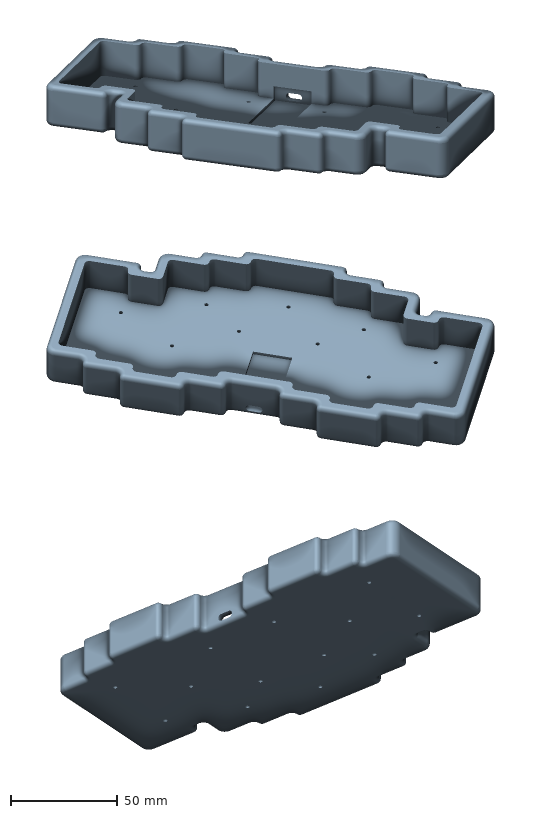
import cadquery as cq

key_pitch = 19.0
stagger = key_pitch / 4
clearance = 1.0
wall = 5.0
height = 20.7
floor = 3.0

end_corner_radius = 4.7
step_flat = 0.05
step_corner_radius = (stagger - step_flat) / 2
rim_margin = 0.02
rim_radius = step_corner_radius - rim_margin
cavity_corner_radius = 2.2

screw_diameter = 2.0
rear_screw_y = 26.3
middle_screw_y = rear_screw_y - 1.125 * key_pitch
front_screw_y = rear_screw_y - 2 * key_pitch
thumb_screw_y = front_screw_y - 0.75 * key_pitch
center_screw_y = front_screw_y - 1.125 * key_pitch

recess_width = key_pitch
recess_front_y = 0.2
recess_depth = 1.6
recess_top = 9.3
recess_into_wall = 2.0
port_width = 8.1
port_height = 3.6
port_z = 4.3

field_rear = 4.5 * key_pitch / 2
field_front = -field_rear
side_rear = field_rear - 2 * stagger
side_front = side_rear - 3 * key_pitch
thumb_front = field_front + 2 * stagger


def key_field(margin):
    """Stepped outline of the key field, grown outward by a margin."""
    right_half = [
        (1, side_rear),
        (1, side_rear + stagger),
        (2, side_rear + stagger),
        (2, field_rear),
        (3, field_rear),
        (3, side_rear + stagger),
        (4, side_rear + stagger),
        (4, side_rear),
        (5, side_rear),
        (5, side_front),
        (4, side_front),
        (4, side_front + stagger),
        (3, side_front + stagger),
        (3, thumb_front),
        (2, thumb_front),
        (2, thumb_front - stagger),
        (1, thumb_front - stagger),
        (1, field_front),
    ]
    right = [(column * key_pitch, y) for column, y in right_half]
    left = [(-x, y) for x, y in reversed(right)]
    outline = cq.Workplane("XY").polyline(right + left).close()
    return outline.offset2D(margin, "intersection")


def is_end_corner(edge):
    """True for the upright edges at the two ends and at the thumb cluster corners."""
    margin = clearance + wall
    tolerance = 0.02
    end_x = 5 * key_pitch + margin
    thumb_x = 3 * key_pitch + margin
    thumb_y = thumb_front - margin
    center = edge.Center()
    at_end = abs(abs(center.x) - end_x) < tolerance
    at_thumb = abs(abs(center.x) - thumb_x) < tolerance and abs(center.y - thumb_y) < tolerance
    return at_end or at_thumb


def outer_body():
    body = key_field(clearance + wall).extrude(height)
    step_corners = body.edges("|Z").filter(lambda edge: not is_end_corner(edge))
    body = step_corners.fillet(step_corner_radius)
    end_corners = body.edges("|Z").filter(is_end_corner)
    body = end_corners.fillet(end_corner_radius)
    return body.faces("<Z or >Z").edges().fillet(rim_radius)


def cavity():
    space = key_field(clearance).extrude(height)
    return space.edges("|Z").fillet(cavity_corner_radius).translate((0, 0, floor))


def screw_holes():
    points = [(0, center_screw_y)]
    for side in (-1, 1):
        for column, y in (
            (4, rear_screw_y),
            (1, rear_screw_y),
            (2.5, middle_screw_y),
            (4, front_screw_y),
            (1, front_screw_y),
            (2, thumb_screw_y),
        ):
            points.append((side * column * key_pitch, y))
    return cq.Workplane("XY").pushPoints(points).circle(screw_diameter / 2).extrude(height)


def controller_recess():
    length = side_rear + clearance + recess_into_wall - recess_front_y
    bottom = floor - recess_depth
    recess = cq.Workplane("XY").box(recess_width, length, recess_top - bottom, centered=(True, False, False))
    return recess.translate((0, recess_front_y, bottom))


def connector_port():
    """Rounded slot through the rear wall."""
    slot = cq.Workplane("XZ", origin=(0, side_rear, port_z)).slot2D(port_width, port_height)
    return slot.extrude(-2 * wall)


result = outer_body()
for feature in (cavity(), controller_recess(), connector_port(), screw_holes()):
    result = result.cut(feature)